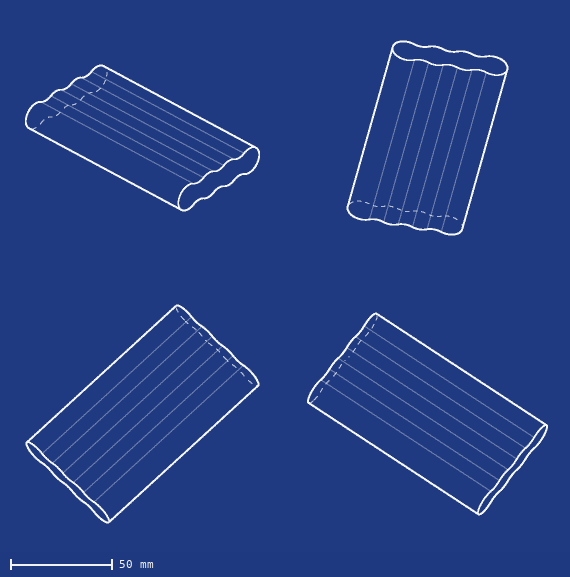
import cadquery as cq
import math

length = 104.0
rod_count = 4
rod_radius = 7.3
total_width = 58.3
waist_height = 10.6

rod_pitch = (total_width - 2 * rod_radius) / (rod_count - 1)
half_pitch = rod_pitch / 2
half_waist = waist_height / 2

groove_radius = (half_pitch**2 + half_waist**2 - rod_radius**2) / (2 * (rod_radius - half_waist))
groove_center_z = half_waist + groove_radius
tangent_ratio = rod_radius / (rod_radius + groove_radius)
tangent_offset_y = half_pitch * tangent_ratio
tangent_z = groove_center_z * tangent_ratio

rod_centers = [(i - (rod_count - 1) / 2) * rod_pitch for i in range(rod_count)]


def add_wavy_edge(outline, centers, side):
    """Follow the grooves and crests from the first rod to the last; side is +1 top, -1 bottom."""
    direction = math.copysign(1, centers[-1] - centers[0])
    for start, end in zip(centers, centers[1:]):
        groove_bottom = ((start + end) / 2, side * half_waist)
        groove_end = (end - direction * tangent_offset_y, side * tangent_z)
        outline = outline.threePointArc(groove_bottom, groove_end)
        if end != centers[-1]:
            crest_end = (end + direction * tangent_offset_y, side * tangent_z)
            outline = outline.threePointArc((end, side * rod_radius), crest_end)
    return outline


def rod_row_profile():
    """Closed cross-section in the YZ plane, starting on top of the first rod."""
    first, last = rod_centers[0], rod_centers[-1]
    outline = cq.Workplane("YZ").moveTo(first + tangent_offset_y, tangent_z)
    outline = add_wavy_edge(outline, rod_centers, 1)
    outline = outline.threePointArc((last + rod_radius, 0), (last - tangent_offset_y, -tangent_z))
    outline = add_wavy_edge(outline, rod_centers[::-1], -1)
    outline = outline.threePointArc((first - rod_radius, 0), (first + tangent_offset_y, tangent_z))
    return outline.close()


result = rod_row_profile().extrude(length / 2, both=True)